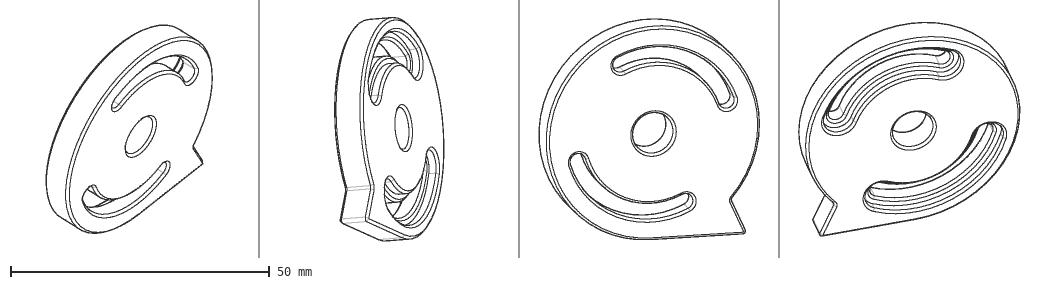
import cadquery as cq
import math

thickness = 6.0
disc_diameter = 43.0
disc_radius = disc_diameter / 2
edge_chamfer = 0.5

tip_y = 19.0
tip_z = -21.9
notch_angle = math.radians(-43)
corner_radius = 0.55

bore_diameter = 8.1

slot_path_radius = 15.75
slot_width = 3.12
recess_width = 6.15
recess_depth = 2.0
slot_spans = [(19.6, 114.4), (196.5, 294.4)]


def polar(radius, angle):
    return (radius * math.cos(angle), radius * math.sin(angle))


def make_body():
    tip_distance = math.hypot(tip_y, tip_z)
    tangent_angle = math.atan2(tip_z, tip_y) - math.acos(disc_radius / tip_distance)
    opposite_angle = (notch_angle + tangent_angle + 2 * math.pi) / 2
    body = (
        cq.Workplane("YZ")
        .moveTo(*polar(disc_radius, notch_angle))
        .threePointArc(polar(disc_radius, opposite_angle), polar(disc_radius, tangent_angle))
        .lineTo(tip_y, tip_z)
        .close()
        .extrude(thickness)
    )
    tip_edge = cq.selectors.NearestToPointSelector((thickness / 2, tip_y, tip_z))
    notch_edge = cq.selectors.NearestToPointSelector(
        (thickness / 2, *polar(disc_radius, notch_angle))
    )
    body = body.edges("|X").edges(tip_edge).fillet(corner_radius)
    body = body.edges("|X").edges(notch_edge).fillet(corner_radius)
    body = body.cut(cq.Workplane("YZ").circle(bore_diameter / 2).extrude(thickness))
    return body.faces("<X or >X").edges().chamfer(edge_chamfer)


def half_section():
    """Half of the stepped slot section as (depth, half width) points."""
    slot_half = slot_width / 2
    recess_half = recess_width / 2
    return [
        (0, 0),
        (0, recess_half + edge_chamfer),
        (edge_chamfer, recess_half),
        (recess_depth, recess_half),
        (recess_depth, slot_half + edge_chamfer),
        (recess_depth + edge_chamfer, slot_half),
        (thickness - edge_chamfer, slot_half),
        (thickness, slot_half + edge_chamfer),
        (thickness, 0),
    ]


def make_slot(start, end):
    half = half_section()
    outer_side = [(x, slot_path_radius + w) for x, w in half[1:-1]]
    inner_side = [(x, slot_path_radius - w) for x, w in reversed(half[1:-1])]
    cutter = (
        cq.Workplane("XY")
        .polyline(outer_side + inner_side)
        .close()
        .revolve(end - start, (0, 0, 0), (1, 0, 0))
        .rotate((0, 0, 0), (1, 0, 0), start)
    )
    round_end = cq.Workplane("XY").polyline(half).close().revolve(360, (0, 0, 0), (1, 0, 0))
    for angle in (start, end):
        y, z = polar(slot_path_radius, math.radians(angle))
        cutter = cutter.union(round_end.translate((0, y, z)))
    return cutter


result = make_body()
for span_start, span_end in slot_spans:
    result = result.cut(make_slot(span_start, span_end))
result = cq.Workplane(result.solids().val())